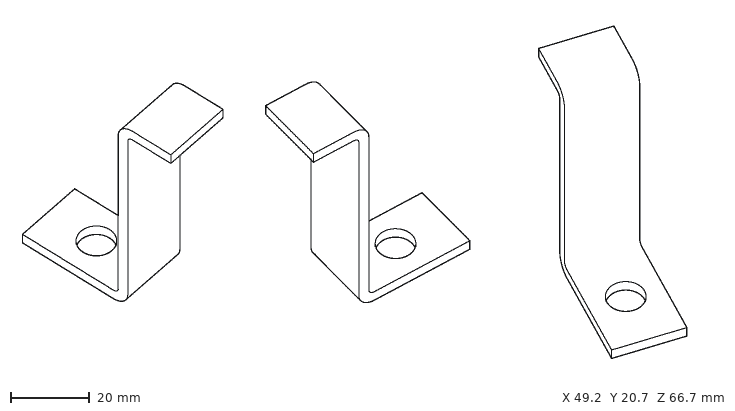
import cadquery as cq

height = 66.7
length = 49.2
width = 20.7
thickness = 3.2
inner_bend_radius = 1.6
foot_length = 34.95
hole_diameter = 10.35
hole_from_end = 15.9

outer_bend_radius = inner_bend_radius + thickness
web_left = foot_length - thickness
bend_run = foot_length - outer_bend_radius
top_bend_end = web_left + outer_bend_radius

profile = (
    cq.Workplane("XZ", origin=(0, width / 2, 0))
    .lineTo(bend_run, 0)
    .radiusArc((foot_length, outer_bend_radius), -outer_bend_radius)
    .lineTo(foot_length, height - outer_bend_radius)
    .radiusArc((top_bend_end, height - thickness), inner_bend_radius)
    .lineTo(length, height - thickness)
    .lineTo(length, height)
    .lineTo(top_bend_end, height)
    .radiusArc((web_left, height - outer_bend_radius), -outer_bend_radius)
    .lineTo(web_left, outer_bend_radius)
    .radiusArc((bend_run, thickness), inner_bend_radius)
    .lineTo(0, thickness)
    .close()
)
bracket = profile.extrude(width)

hole = (
    cq.Workplane("XY")
    .center(hole_from_end, 0)
    .circle(hole_diameter / 2)
    .extrude(thickness)
)

result = bracket.cut(hole)